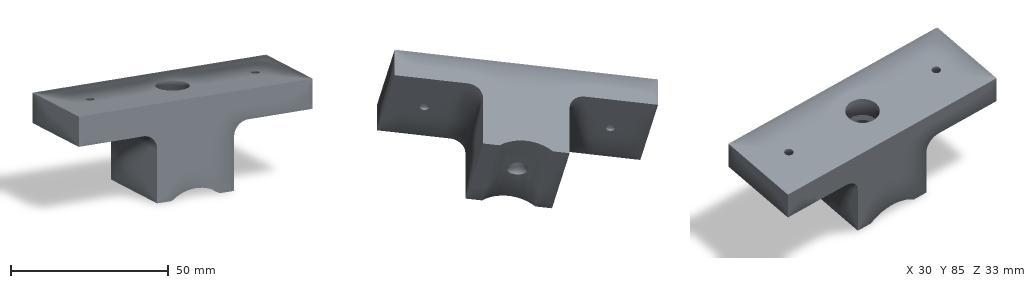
import cadquery as cq

plate_length = 85.0
plate_width = 30.0
plate_thickness = 10.0

total_height = 33.0
stem_length = 28.0
fillet_radius = 5.0

saddle_radius = 14.0
saddle_depth = 3.0

bore_diameter = 6.5
counterbore_diameter = 11.0
counterbore_depth = 7.0
end_hole_diameter = 3.0
end_hole_spacing = 60.0


def make_body():
    """T-shaped body with filleted corners between plate and stem."""
    half_plate = plate_length / 2
    half_stem = stem_length / 2
    outline = [
        (-half_plate, 0),
        (half_plate, 0),
        (half_plate, -plate_thickness),
        (half_stem, -plate_thickness),
        (half_stem, -total_height),
        (-half_stem, -total_height),
        (-half_stem, -plate_thickness),
        (-half_plate, -plate_thickness),
    ]
    block = cq.Workplane("YZ").polyline(outline).close().extrude(plate_width / 2, both=True)
    for corner_y in (-half_stem, half_stem):
        corner = cq.selectors.NearestToPointSelector((0, corner_y, -plate_thickness))
        block = block.edges("|X").edges(corner).fillet(fillet_radius)
    return block


def make_saddle():
    """Cylinder along X that hollows the bottom of the stem."""
    axis_height = -total_height + saddle_depth - saddle_radius
    return (
        cq.Workplane("YZ")
        .center(0, axis_height)
        .circle(saddle_radius)
        .extrude(plate_width / 2, both=True)
    )


def make_drill(diameter, depth, y=0):
    """Cylinder going down from the top face."""
    return cq.Workplane("XY").center(0, y).circle(diameter / 2).extrude(-depth)


result = make_body().cut(make_saddle())

result = result.cut(make_drill(bore_diameter, total_height))
result = result.cut(make_drill(counterbore_diameter, counterbore_depth))

for side in (-1, 1):
    result = result.cut(make_drill(end_hole_diameter, plate_thickness, side * end_hole_spacing / 2))